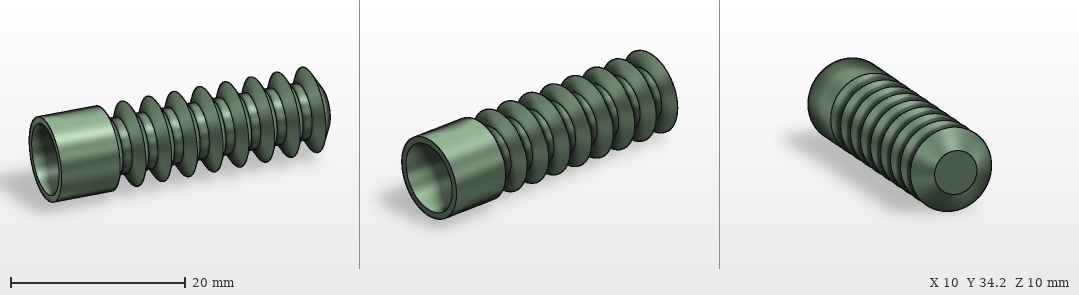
import cadquery as cq

length = 34.2
outer_radius = 5.0
mouth_y = -length / 2
tip_y = length / 2

socket_length = 7.25
crest_count = 8
crest_pitch = 3.18
neck_radius = 3.32
flank_run = 1.03
tip_radius = 2.6

bore_radius = 4.2
land_radius = 3.45
land_length = 0.5
core_radius = 2.3
tip_wall = neck_radius - core_radius
flank_slope = (outer_radius - neck_radius) / flank_run


def outer_profile():
    """Half section of the outside, as (radius, y) from the mouth to the tip."""
    crest_y = mouth_y + socket_length
    points = [(0, mouth_y), (outer_radius, mouth_y), (outer_radius, crest_y)]
    for _ in range(crest_count):
        next_crest_y = crest_y + crest_pitch
        points += [
            (neck_radius, crest_y + flank_run),
            (neck_radius, next_crest_y - flank_run),
            (outer_radius, next_crest_y),
        ]
        crest_y = next_crest_y
    return points + [(tip_radius, tip_y), (0, tip_y)]


def cavity_profile():
    """Half section of the inside, as (radius, y) from the mouth to the blind end."""
    core_start_y = mouth_y + socket_length + flank_run
    core_end_y = tip_y - tip_wall
    land_end_y = core_start_y - (land_radius - core_radius) / flank_slope
    land_start_y = land_end_y - land_length
    bore_end_y = land_start_y - (bore_radius - land_radius) / flank_slope
    return [
        (0, mouth_y),
        (bore_radius, mouth_y),
        (bore_radius, bore_end_y),
        (land_radius, land_start_y),
        (land_radius, land_end_y),
        (core_radius, core_start_y),
        (core_radius, core_end_y),
        (0, core_end_y),
    ]


def revolve_about_y(points):
    return cq.Workplane("XY").polyline(points).close().revolve(360, (0, 0, 0), (0, 1, 0))


result = revolve_about_y(outer_profile()).cut(revolve_about_y(cavity_profile()))